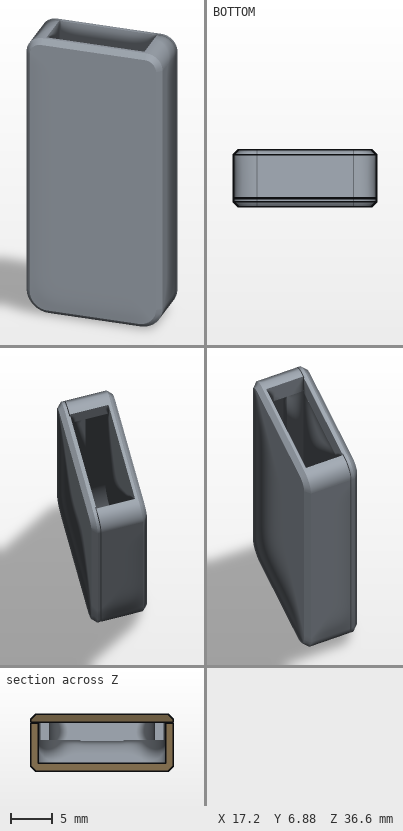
import cadquery as cq

WIDTH = 17.2
DEPTH = 6.88
HEIGHT = 36.6
TOP_RADIUS = 2.0
BOTTOM_RADIUS = 2.8
EDGE_CHAMFER = 0.62

WALL = 1.0
PARTING_GAP = 0.1
LID_FRONT = DEPTH - WALL
HOUSING_BACK = LID_FRONT - PARTING_GAP

CAVITY_RADIUS = 2.78
HEAD_THICKNESS = 3.1
HEAD_BOTTOM = HEIGHT - HEAD_THICKNESS
OPENING_WIDTH = 12.37

FIT_CLEARANCE = 0.22
LIP_DEPTH = 2.12
LIP_INNER_RADIUS = 1.5
LIP_INSET = WALL + FIT_CLEARANCE
LIP_THICKNESS = CAVITY_RADIUS - FIT_CLEARANCE - LIP_INNER_RADIUS
LIP_TOP = HEAD_BOTTOM - FIT_CLEARANCE
LIP_FRONT = LID_FRONT - LIP_DEPTH
TONGUE_WIDTH = OPENING_WIDTH - 2 * FIT_CLEARANCE
TAB_WIDTH = 5.2
TAB_HEIGHT = 0.1
TAB_THICKNESS = LIP_THICKNESS / 2


def block(width, y_front, y_back, z_bottom, z_top):
    """Box centred on X, given by its limits along Y and Z."""
    return cq.Workplane("XY").box(
        width, y_back - y_front, z_top - z_bottom, centered=(True, False, False)
    ).translate((0, y_front, z_bottom))


def cup_block(inset, bottom_radius, y_front, y_back, z_top):
    """Block inset from the case sides and bottom, with rounded bottom corners."""
    body = block(WIDTH - 2 * inset, y_front, y_back, inset, z_top)
    return body.edges("|Y and <Z").fillet(bottom_radius)


def case_slice(y_front, y_back):
    """Part of the rounded case outline between two depths."""
    outline = block(WIDTH, y_front, y_back, 0, HEIGHT)
    outline = outline.edges("|Y and >Z").fillet(TOP_RADIUS)
    return outline.edges("|Y and <Z").fillet(BOTTOM_RADIUS)


def make_housing():
    shell = case_slice(0, HOUSING_BACK).faces("<Y").chamfer(EDGE_CHAMFER)
    cavity = cup_block(WALL, CAVITY_RADIUS, WALL, HOUSING_BACK, HEAD_BOTTOM)
    opening = block(OPENING_WIDTH, WALL, HOUSING_BACK, HEAD_BOTTOM, HEIGHT)
    return shell.cut(cavity).cut(opening)


def make_lip():
    """U-shaped rim, open towards the head, with a low tab along the outer half of its bottom run."""
    inner_inset = LIP_INSET + LIP_THICKNESS
    outer = cup_block(LIP_INSET, LIP_INNER_RADIUS + LIP_THICKNESS, LIP_FRONT, LID_FRONT, LIP_TOP)
    inner = cup_block(inner_inset, LIP_INNER_RADIUS, LIP_FRONT, LID_FRONT, LIP_TOP)
    tab = block(TAB_WIDTH, LIP_FRONT - TAB_HEIGHT, LIP_FRONT, LIP_INSET, LIP_INSET + TAB_THICKNESS)
    return outer.cut(inner).union(tab)


def make_lid():
    plate = case_slice(LID_FRONT, DEPTH).faces(">Y").chamfer(EDGE_CHAMFER)
    tongue = block(TONGUE_WIDTH, HOUSING_BACK, LID_FRONT, HEAD_BOTTOM, HEIGHT)
    return plate.union(tongue).union(make_lip())


housing = make_housing()
lid = make_lid()

result = cq.Compound.makeCompound([housing.val(), lid.val()])